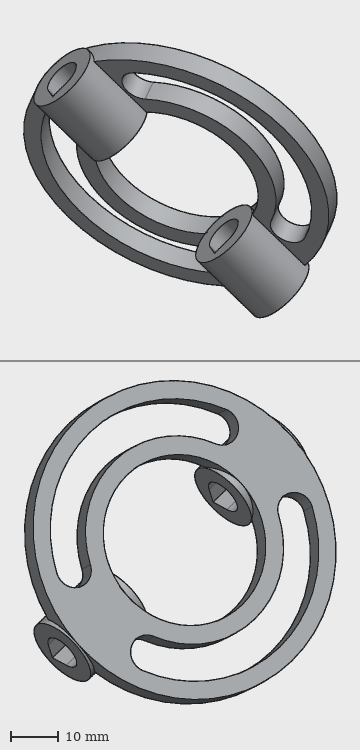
import cadquery as cq
import math

ring_radius = 34.45
ring_bore_radius = 18.45
ring_thickness = 5.0

slot_mid_radius = 26.5
slot_width = 8.0
slot_directions = (45, 225)

tube_radius = 8.0
tube_inner_end = 16.75
tube_length = 18.2
tube_directions = (135, 315)
teardrop_radius = 4.05

back_y = tube_radius

slot_end_radius = slot_width / 2
slot_end_clearance = math.asin((tube_radius + slot_end_radius) / slot_mid_radius)
slot_half_span = 90 - math.degrees(slot_end_clearance)


def polar(radius, degrees):
    angle = math.radians(degrees)
    return (radius * math.cos(angle), radius * math.sin(angle))


def back_plane():
    """XZ workplane on the back face; its normal points to -Y."""
    return cq.Workplane("XZ", origin=(0, back_y, 0))


def arc_slot(direction):
    start = direction - slot_half_span
    end = direction + slot_half_span
    outer = slot_mid_radius + slot_end_radius
    inner = slot_mid_radius - slot_end_radius
    bulge = math.degrees(2 * math.asin(slot_end_radius / (2 * slot_mid_radius)))
    return (
        back_plane()
        .moveTo(*polar(outer, start))
        .threePointArc(polar(outer, direction), polar(outer, end))
        .threePointArc(polar(slot_mid_radius, end + bulge), polar(inner, end))
        .threePointArc(polar(inner, direction), polar(inner, start))
        .threePointArc(polar(slot_mid_radius, start - bulge), polar(outer, start))
        .close()
        .extrude(ring_thickness)
    )


def radial_plane(direction):
    """Plane across the tube axis at its inner end; local X points to -Y."""
    x, z = polar(tube_inner_end, direction)
    plane = cq.Plane(origin=(x, 0, z), xDir=(0, -1, 0), normal=(x, 0, z))
    return cq.Workplane(plane)


def teardrop_bore(direction):
    """Round bore with a right-angled point towards -Y."""
    upper = polar(teardrop_radius, 45)
    lower = polar(teardrop_radius, -45)
    return (
        radial_plane(direction)
        .moveTo(*upper)
        .threePointArc((-teardrop_radius, 0), lower)
        .lineTo(teardrop_radius * math.sqrt(2), 0)
        .close()
        .extrude(tube_length)
    )


result = back_plane().circle(ring_radius).circle(ring_bore_radius).extrude(ring_thickness)

for direction in slot_directions:
    result = result.cut(arc_slot(direction))

for direction in tube_directions:
    tube = radial_plane(direction).circle(tube_radius).extrude(tube_length)
    result = result.union(tube)

for direction in tube_directions:
    result = result.cut(teardrop_bore(direction))